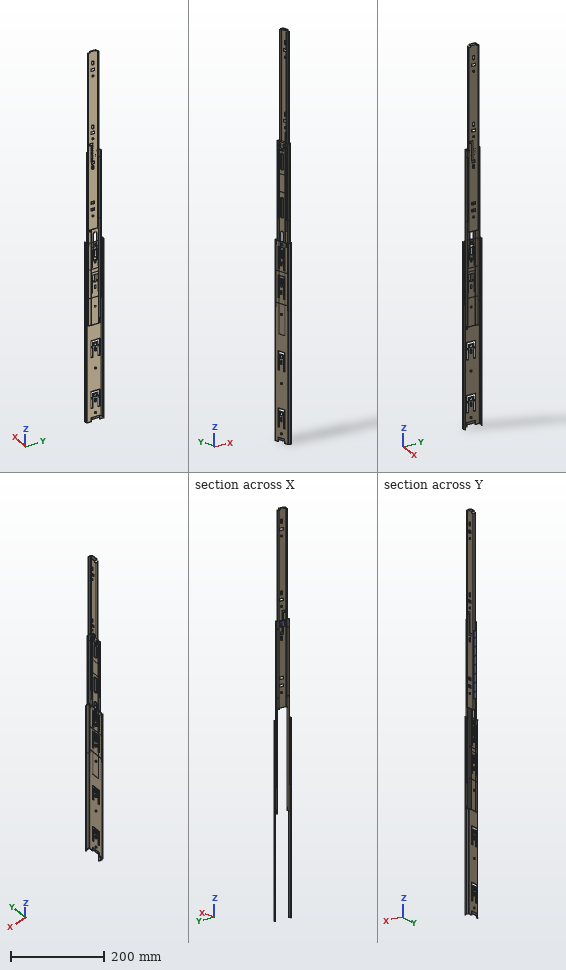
import cadquery as cq


total_depth = 12.3
total_length = 925.0
back_x = -total_depth / 2
front_x = total_depth / 2

outer_length = 450.0
outer_half_width = 45.7 / 2
outer_sheet = 1.3
outer_web_front_x = back_x + outer_sheet
outer_corner_y = 20.5
outer_bevel = (-4.1, 21.5)
outer_crease_x = 0.7
outer_tip = (4.9, 20.4)
screw_hole_diameter = 4.3
outer_hole_heights = [19.5, 132.0, 287.0, 443.0]
corner_notch_inner_y = 16.0
corner_notch_outer_y = 20.2
corner_notch_height = 9.0
bottom_notch_half_width = 10.5
bottom_notch_height = 4.5
bottom_recess_top_z = 9.5
press_depth = 0.6

tongue_opening_half_width = 11.0
tongue_half_width = 6.6
tongue_head_half_width = 9.8
tongue_head_height = 3.0
tongue_window_height = 6.0
tongue_hole_width = 3.5
tongue_hole_length = 9.0
upper_tongue_tops = [437.0, 373.0]
upper_tongue_length = 50.0
upper_head_depth = 6.0
key_width = 4.6
key_length = 19.0
cross_depth = 21.0
cross_slot_half_width = 4.8
cross_slot_height = 2.8
upper_tongue_hole_depth = 37.0
lower_tongue_tops = [203.0, 75.0]
lower_tongue_length = 42.0
lower_head_depth = 15.0
lower_round_hole_diameter = 7.4
lower_round_hole_depth = 11.4
lower_tongue_hole_depth = 24.0

middle_bottom_z = 241.0
middle_top_z = 672.5
middle_half_width = 17.7
middle_sheet = 1.0
middle_band_back_x = -3.3
middle_corner_y = 15.9
middle_bevel = (-1.0, 16.7)
middle_crease_x = 0.8
middle_tip_y = 15.6
panel_half_width = 8.9
panel_slope_end_y = 9.7
panel_step = 1.0
panel_back_x = middle_band_back_x - panel_step
middle_lip_bottom_z = 248.5
side_notch_y = (13.2, 15.0)
side_notch_z = (659.5, 664.5)
middle_slot_width = 8.4
middle_slots = [(610.5, 648.0), (502.5, 548.5), (400.0, 473.0)]
catch_slot_z = (653.0, 655.0)

inner_length = 450.0
inner_bottom_z = total_length - inner_length
inner_half_width = 12.5
inner_sheet = 1.1
inner_crease_x = 0.3
inner_tip = (-1.0, 11.0)
inner_back_x = inner_tip[0] - inner_sheet / 2
inner_web_back_x = front_x - inner_sheet
end_tab_half_width = 7.6
end_tab_height = 3.5
inner_hole_heights = [861.0, 703.0, 509.0]
tall_hole_heights = [894.0, 733.0, 631.0]
tall_hole_width = 4.6
tall_hole_length = 9.5
wide_hole_heights = [876.5, 718.0, 542.0, 525.0]
wide_hole_width = 9.0
wide_hole_height = 5.6

cage_plate = 0.4
outer_cage_x = (-4.75, 2.4)
outer_cage_y = (18.1, 20.1)
outer_cage_z = (300.0, 449.0)
outer_cage_plate_z = (310.0, 382.0)
inner_cage_x = (-2.2, 4.0)
inner_cage_y = (12.8, 14.7)
inner_cage_z = (500.0, 655.0)
inner_cage_plate_z = (560.0, 600.0)

bumper_front_x = 3.2
bumper_bottom_z = 658.5
bumper_head_half_width = 9.5
bumper_head_height = 4.5
bumper_stem_half_width = 4.2
bumper_foot_half_width = 6.8
bumper_foot_height = 4.0

latch_thickness = 1.4
latch_top_z = 693.0
latch_bottom_z = 640.0
latch_foot_height = 6.0
latch_foot_half_width = 3.6
latch_right_y = -1.0
latch_left_y = -4.6
latch_head_y = -8.4
latch_head_height = 5.0


def box(x_range, y_range, z_range):
    """Axis-aligned block between the given limits."""
    size = [high - low for low, high in (x_range, y_range, z_range)]
    corner = (x_range[0], y_range[0], z_range[0])
    return cq.Workplane("XY").box(*size, centered=False).translate(corner)


def mirrored_boxes(x_range, y_range, z_range):
    """The same block on the +Y and the -Y side."""
    block = box(x_range, y_range, z_range)
    return block.union(block.mirror("XZ"))


def upright_slot(x_range, width, z_range):
    """Round-ended upright cutter on the centreline, passing along X."""
    length = z_range[1] - z_range[0]
    return (
        cq.Workplane("YZ", origin=(x_range[0], 0, sum(z_range) / 2))
        .slot2D(length, width, 90)
        .extrude(x_range[1] - x_range[0])
    )


def round_holes(x_range, diameter, heights):
    """Round cutters on the centreline, passing along X."""
    return (
        cq.Workplane("YZ", origin=(x_range[0], 0, 0))
        .pushPoints([(0, height) for height in heights])
        .circle(diameter / 2)
        .extrude(x_range[1] - x_range[0])
    )


def folded_channel(half_centreline, sheet, z_range):
    """Sheet channel, symmetric about Y = 0, from the (x, y) mid-line of its +Y half."""
    other_half = [(x, -y) for x, y in reversed(half_centreline)]
    path = cq.Workplane("XY", origin=(0, 0, z_range[0])).polyline(half_centreline + other_half)
    return path.offset2D(sheet / 2, "arc").extrude(z_range[1] - z_range[0])


def hook_tongue(member, top_z, length, head_depth, hole_depth):
    """Free a tongue from the outer web: a window over it, a slot each side and a screw slot."""
    web_x = (back_x, outer_web_front_x)
    half_width = tongue_opening_half_width
    head_top_z = top_z - head_depth
    head_z = (head_top_z - tongue_head_height, head_top_z)
    hole_z = top_z - hole_depth
    half_hole = tongue_hole_length / 2
    window = box(web_x, (-half_width, half_width), (top_z - tongue_window_height, top_z))
    side_slots = mirrored_boxes(web_x, (tongue_half_width, half_width), (top_z - length, top_z))
    head = mirrored_boxes(web_x, (tongue_half_width, tongue_head_half_width), head_z)
    hole = upright_slot(web_x, tongue_hole_width, (hole_z - half_hole, hole_z + half_hole))
    return member.cut(window).cut(side_slots.cut(head)).cut(hole)


def key_opening(top_z):
    """Cross-shaped cutter at the free end of an upper tongue."""
    web_x = (back_x, outer_web_front_x)
    tongue_top_z = top_z - tongue_window_height
    cross_top_z = top_z - cross_depth
    cross_y = (-cross_slot_half_width, cross_slot_half_width)
    upright = upright_slot(web_x, key_width, (tongue_top_z - key_length, tongue_top_z))
    return upright.union(box(web_x, cross_y, (cross_top_z - cross_slot_height, cross_top_z)))


def make_outer_member():
    web_x = (back_x, outer_web_front_x)
    web_middle_x = back_x + outer_sheet / 2
    crease_y = outer_half_width - outer_sheet / 2
    half_centreline = [outer_tip, (outer_crease_x, crease_y), outer_bevel, (web_middle_x, outer_corner_y)]
    member = folded_channel(half_centreline, outer_sheet, (0, outer_length))
    member = member.cut(round_holes(web_x, screw_hole_diameter, outer_hole_heights))
    for top_z in upper_tongue_tops:
        member = hook_tongue(member, top_z, upper_tongue_length, upper_head_depth, upper_tongue_hole_depth)
        member = member.cut(key_opening(top_z))
    for top_z in lower_tongue_tops:
        member = hook_tongue(member, top_z, lower_tongue_length, lower_head_depth, lower_tongue_hole_depth)
    round_hole_heights = [top_z - lower_round_hole_depth for top_z in lower_tongue_tops]
    member = member.cut(round_holes(web_x, lower_round_hole_diameter, round_hole_heights))
    notch_z = (outer_length - corner_notch_height, outer_length)
    member = member.cut(mirrored_boxes(web_x, (corner_notch_inner_y, corner_notch_outer_y), notch_z))
    notch_y = (-bottom_notch_half_width, bottom_notch_half_width)
    member = member.cut(box(web_x, notch_y, (0, bottom_notch_height)))
    return member.cut(
        box((back_x, back_x + press_depth), notch_y, (bottom_notch_height, bottom_recess_top_z))
    )


def make_bumper():
    x_range = (panel_back_x, bumper_front_x)
    head_bottom_z = middle_top_z - bumper_head_height
    foot_top_z = bumper_bottom_z + bumper_foot_height
    head = box(x_range, (-bumper_head_half_width, bumper_head_half_width), (head_bottom_z, middle_top_z))
    stem = box(x_range, (-bumper_stem_half_width, bumper_stem_half_width), (foot_top_z, head_bottom_z))
    foot = box(x_range, (-bumper_foot_half_width, bumper_foot_half_width), (bumper_bottom_z, foot_top_z))
    return head.union(stem).union(foot)


def make_middle_member(bumper):
    half_sheet = middle_sheet / 2
    band_x = middle_band_back_x + half_sheet
    panel_x = panel_back_x + half_sheet
    web_x = (panel_back_x, middle_band_back_x + middle_sheet)
    half_centreline = [
        (front_x - half_sheet, middle_tip_y),
        (middle_crease_x, middle_half_width - half_sheet),
        middle_bevel,
        (band_x, middle_corner_y),
        (band_x, panel_slope_end_y),
        (panel_x, panel_half_width),
    ]
    member = folded_channel(half_centreline, middle_sheet, (middle_bottom_z, middle_top_z))
    for slot_span in middle_slots:
        member = member.cut(upright_slot(web_x, middle_slot_width, slot_span))
    half_slot = middle_slot_width / 2
    member = member.cut(box(web_x, (-half_slot, half_slot), catch_slot_z))
    member = member.cut(mirrored_boxes(web_x, side_notch_y, side_notch_z))
    lip_x = (front_x - middle_sheet, front_x)
    lip_y = (-middle_half_width, middle_half_width)
    member = member.cut(box(lip_x, lip_y, (middle_bottom_z, middle_lip_bottom_z)))
    return member.cut(bumper)


def make_inner_member():
    flange_top_z = total_length - end_tab_height
    web_x = (inner_web_back_x, front_x)
    flange_y = inner_half_width - inner_sheet / 2
    half_centreline = [
        inner_tip,
        (inner_crease_x, flange_y),
        (front_x - inner_sheet / 2, flange_y),
    ]
    member = folded_channel(half_centreline, inner_sheet, (inner_bottom_z, flange_top_z))
    tab_y = (-end_tab_half_width, end_tab_half_width)
    member = member.union(box(web_x, tab_y, (flange_top_z, total_length)))
    member = member.union(box((inner_back_x, front_x), tab_y, (total_length - inner_sheet, total_length)))
    member = member.cut(round_holes(web_x, screw_hole_diameter, inner_hole_heights))
    half_tall = tall_hole_length / 2
    for height in tall_hole_heights:
        member = member.cut(upright_slot(web_x, tall_hole_width, (height - half_tall, height + half_tall)))
    half_wide = wide_hole_width / 2
    half_high = wide_hole_height / 2
    for height in wide_hole_heights:
        member = member.cut(box(web_x, (-half_wide, half_wide), (height - half_high, height + half_high)))
    return member


def make_ball_cage(x_range, y_range, z_range, plate_z_range):
    """Upright strips in the two ball races, joined by a short thin plate."""
    strips = mirrored_boxes(x_range, y_range, z_range)
    plate_x = (x_range[0], x_range[0] + cage_plate)
    return strips.union(box(plate_x, (-y_range[0], y_range[0]), plate_z_range))


def make_latch():
    x_range = (inner_web_back_x - latch_thickness, inner_web_back_x)
    foot_top_z = latch_bottom_z + latch_foot_height
    lever = box(x_range, (latch_left_y, latch_right_y), (foot_top_z, latch_top_z))
    head = box(x_range, (latch_head_y, latch_right_y), (latch_top_z - latch_head_height, latch_top_z))
    foot_y = (-latch_foot_half_width, latch_foot_half_width)
    foot = box(x_range, foot_y, (latch_bottom_z, foot_top_z))
    return lever.union(head).union(foot)


outer_member = make_outer_member()
bumper = make_bumper()
middle_member = make_middle_member(bumper)
inner_member = make_inner_member()
outer_cage = make_ball_cage(outer_cage_x, outer_cage_y, outer_cage_z, outer_cage_plate_z)
inner_cage = make_ball_cage(inner_cage_x, inner_cage_y, inner_cage_z, inner_cage_plate_z)
latch = make_latch()

bodies = [outer_member, middle_member, inner_member, outer_cage, inner_cage, bumper, latch]
result = cq.Compound.makeCompound([body.val() for body in bodies])